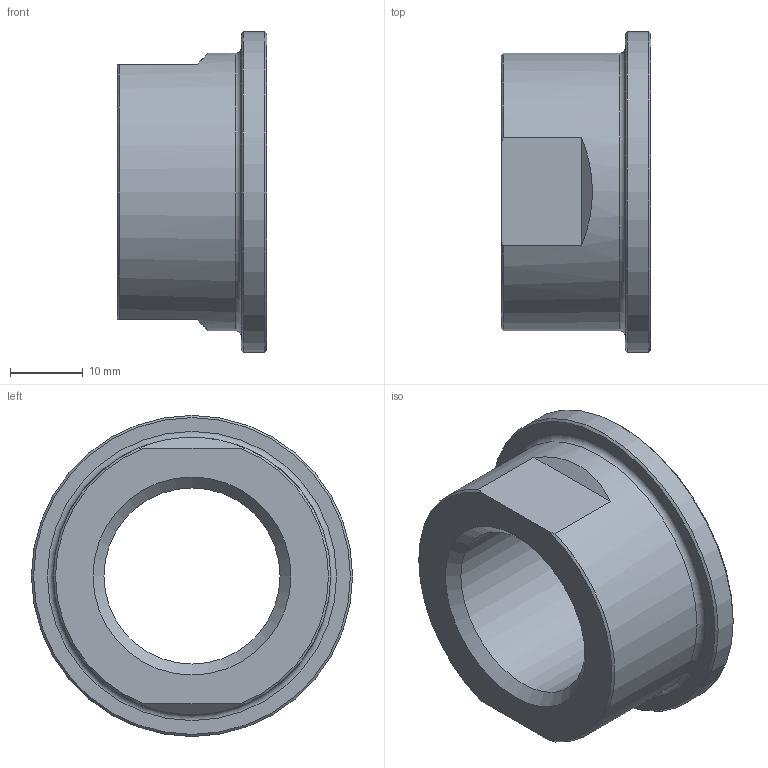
import cadquery as cq

total_length = 20.5
flange_thickness = 3.5
flange_diameter = 44.0
barrel_diameter = 38.0
bore_diameter = 24.12

edge_chamfer = 0.3
bore_chamfer = 1.5
root_fillet_radius = 0.8

width_across_flats = 35.0
flat_length = 11.0

flange_face_x = total_length - flange_thickness


def make_body():
    """Revolve the half section of barrel, flange and bore about the X axis."""
    bore_radius = bore_diameter / 2
    barrel_radius = barrel_diameter / 2
    flange_radius = flange_diameter / 2
    section = (
        cq.Workplane("XY")
        .moveTo(0, bore_radius + bore_chamfer)
        .lineTo(0, barrel_radius - edge_chamfer)
        .lineTo(edge_chamfer, barrel_radius)
        .lineTo(flange_face_x - root_fillet_radius, barrel_radius)
        .radiusArc((flange_face_x, barrel_radius + root_fillet_radius), -root_fillet_radius)
        .lineTo(flange_face_x, flange_radius - edge_chamfer)
        .lineTo(flange_face_x + edge_chamfer, flange_radius)
        .lineTo(total_length - edge_chamfer, flange_radius)
        .lineTo(total_length, flange_radius - edge_chamfer)
        .lineTo(total_length, bore_radius)
        .lineTo(bore_chamfer, bore_radius)
        .close()
    )
    return section.revolve(360, (0, 0, 0), (1, 0, 0))


def make_flat_cutter():
    """Material above the upper wrench flat, ending in a 45 degree run-out."""
    flat_height = width_across_flats / 2
    cutter_rise = flange_face_x - flat_length - root_fillet_radius
    return (
        cq.Workplane("XZ")
        .moveTo(0, flat_height)
        .lineTo(flat_length, flat_height)
        .lineTo(flat_length + cutter_rise, flat_height + cutter_rise)
        .lineTo(0, flat_height + cutter_rise)
        .close()
        .extrude(barrel_diameter / 2, both=True)
    )


upper_flat_cutter = make_flat_cutter()
lower_flat_cutter = upper_flat_cutter.mirror("XY")

result = make_body().cut(upper_flat_cutter).cut(lower_flat_cutter)